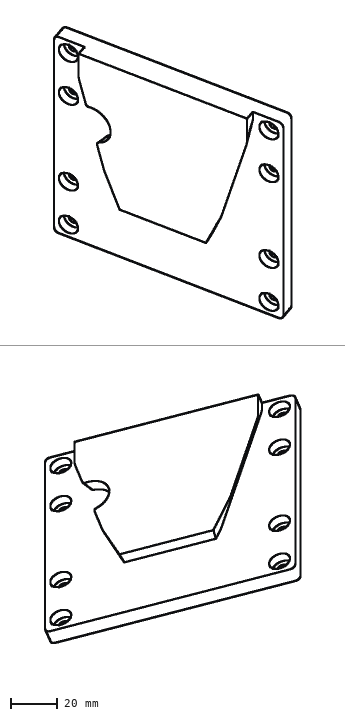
import cadquery as cq
import math

side = 114.3
plate_thickness = 7.1
total_thickness = 12.1
corner_radius = 2.5

hole_x = 50.0
hole_heights = (hole_x / 2, hole_x)
hole_diameter = 4.5
counterbore_diameter = 9.5
counterbore_depth = 4.3

pad_half_width = 42.0
pad_bottom_half_width = 21.5
pad_bottom_z = -24.5
upper_bend_z = 42.9
lower_bend_z = -5.7
taper_slope = math.tan(math.radians(14.8))
undercut = 2.4
lower_undercut = 0.6
bend_radius = 2.5

notch_x = -35.8
notch_z = 18.7
notch_radius = 9.7
notch_corner_radius = 1.3

pad_height = total_thickness - plate_thickness
top_z = side / 2
plate_front_y = total_thickness / 2 - plate_thickness
pad_front_y = -total_thickness / 2

lower_bend_x = pad_half_width - taper_slope * (upper_bend_z - lower_bend_z)
lower_slope = (lower_bend_x - pad_bottom_half_width) / (lower_bend_z - pad_bottom_z)
root_upper_bend_z = upper_bend_z + undercut / taper_slope
root_drop = (undercut - lower_undercut) / (lower_slope - taper_slope)
root_lower_bend_z = lower_bend_z - root_drop
root_lower_bend_x = lower_bend_x - lower_undercut - lower_slope * root_drop


def make_plate():
    plate = (
        cq.Workplane("XZ", origin=(0, total_thickness / 2, 0))
        .rect(side, side)
        .extrude(plate_thickness)
    )
    return plate.edges("|Y").fillet(corner_radius)


def pad_outline(bottom_x, lower_x, lower_z, upper_z):
    right = [
        (bottom_x, pad_bottom_z),
        (lower_x, lower_z),
        (pad_half_width, upper_z),
        (pad_half_width, top_z),
    ]
    left = [(-x, z) for x, z in reversed(right)]
    return right + left


def make_pad():
    root = pad_outline(
        pad_bottom_half_width - lower_undercut, root_lower_bend_x, root_lower_bend_z, root_upper_bend_z
    )
    front = pad_outline(pad_bottom_half_width, lower_bend_x, lower_bend_z, upper_bend_z)
    pad = (
        cq.Workplane("XZ", origin=(0, plate_front_y, 0))
        .polyline(root)
        .close()
        .workplane(offset=pad_height)
        .polyline(front)
        .close()
        .loft(ruled=True)
    )
    for sign in (-1, 1):
        bends = (
            (pad_half_width, (upper_bend_z + root_upper_bend_z) / 2),
            ((lower_bend_x + root_lower_bend_x) / 2, (lower_bend_z + root_lower_bend_z) / 2),
        )
        for x, z in bends:
            middle = (sign * x, (plate_front_y + pad_front_y) / 2, z)
            pad = pad.edges(cq.NearestToPointSelector(middle)).fillet(bend_radius)
    return pad


def cut_notch(pad):
    notch = (
        cq.Workplane("XZ", origin=(notch_x, plate_front_y, notch_z))
        .circle(notch_radius)
        .extrude(pad_height)
    )
    pad = pad.cut(notch)
    middle_y = (plate_front_y + pad_front_y) / 2
    middle_inset = undercut / 2
    for sign in (-1, 1):
        corner_z = notch_z + sign * notch_radius
        corner_x = middle_inset - pad_half_width + taper_slope * (upper_bend_z - corner_z)
        corner = cq.NearestToPointSelector((corner_x, middle_y, corner_z))
        pad = pad.edges(corner).fillet(notch_corner_radius)
    return pad


def drill_holes(body):
    points = [(sx * hole_x, sz * z) for sx in (-1, 1) for sz in (-1, 1) for z in hole_heights]
    return (
        body.copyWorkplane(cq.Workplane("XZ", origin=(0, plate_front_y, 0)))
        .pushPoints(points)
        .cboreHole(hole_diameter, counterbore_diameter, counterbore_depth)
    )


result = drill_holes(make_plate()).union(cut_notch(make_pad()))